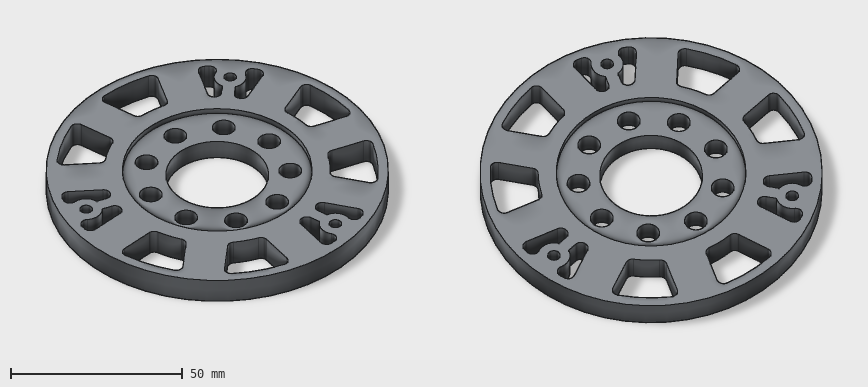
import cadquery as cq
import math

disc_radius = 49.75
disc_height = 8.0
bore_radius = 14.9
recess_radius = 27.6
recess_depth = 1.8

bolt_circle_radius = 21.3
bolt_hole_diameter = 6.6

window_count = 9
window_pitch = 360.0 / window_count
first_window_angle = -90.0
window_inner_radius = 32.8
window_outer_radius = 46.8
spoke_width = 12.1
corner_radius = 2.0

mount_spacing = 3
mount_radius = 42.0
mount_hole_diameter = 3.6
boss_radius = 4.7
rib_width = 3.8


def polar(radius, angle):
    """Point at a radius and an angle in degrees from +X."""
    return (radius * math.cos(math.radians(angle)), radius * math.sin(math.radians(angle)))


def spoke_side_angle(radius):
    """Half angle of a window centred on +X, where its spoke meets a circle."""
    return window_pitch / 2 - math.degrees(math.asin(spoke_width / 2 / radius))


def round_corners(body, corners):
    """Round the upright edges that stand on the given corner points."""
    for x, y in corners:
        nearest = cq.selectors.NearestToPointSelector((x, y, disc_height / 2))
        body = body.edges("|Z").edges(nearest).fillet(corner_radius)
    return body


def open_window():
    """Cutter for a plain window centred on +X."""
    inner_angle = spoke_side_angle(window_inner_radius)
    outer_angle = spoke_side_angle(window_outer_radius)
    inner_low = polar(window_inner_radius, -inner_angle)
    inner_high = polar(window_inner_radius, inner_angle)
    outer_low = polar(window_outer_radius, -outer_angle)
    outer_high = polar(window_outer_radius, outer_angle)
    body = (
        cq.Workplane("XY")
        .moveTo(*inner_low)
        .lineTo(*outer_low)
        .threePointArc((window_outer_radius, 0), outer_high)
        .lineTo(*inner_high)
        .threePointArc((window_inner_radius, 0), inner_low)
        .close()
        .extrude(disc_height)
    )
    return round_corners(body, [inner_low, inner_high, outer_low, outer_high])


def mount_slot():
    """Cutter for the slot on the +Y side of a boss and rib that lie along +X."""
    rib_side = rib_width / 2
    inner_angle = spoke_side_angle(window_inner_radius)
    outer_angle = spoke_side_angle(window_outer_radius)
    rib_angle = math.degrees(math.asin(rib_side / window_inner_radius))
    rib_inner = polar(window_inner_radius, rib_angle)
    spoke_inner = polar(window_inner_radius, inner_angle)
    spoke_outer = polar(window_outer_radius, outer_angle)
    inner_middle = polar(window_inner_radius, (rib_angle + inner_angle) / 2)

    def on_boss(angle):
        x, y = polar(boss_radius, angle)
        return (mount_radius + x, y)

    end_to_centre = window_outer_radius - corner_radius
    end_to_boss = boss_radius + corner_radius
    end_x = (end_to_centre**2 - end_to_boss**2 + mount_radius**2) / (2 * mount_radius)
    end_y = math.sqrt(end_to_centre**2 - end_x**2)
    end_angle = math.degrees(math.atan2(end_y, end_x))
    boss_end_angle = math.degrees(math.atan2(end_y, end_x - mount_radius))
    boss_start_angle = 180 - math.degrees(math.asin(rib_side / boss_radius))

    end_turn_angle = (boss_end_angle - 180 + end_angle) / 2
    turn_x, turn_y = polar(corner_radius, end_turn_angle)

    body = (
        cq.Workplane("XY")
        .moveTo(*rib_inner)
        .lineTo(*on_boss(boss_start_angle))
        .threePointArc(on_boss((boss_start_angle + boss_end_angle) / 2), on_boss(boss_end_angle))
        .threePointArc((end_x + turn_x, end_y + turn_y), polar(window_outer_radius, end_angle))
        .threePointArc(polar(window_outer_radius, (end_angle + outer_angle) / 2), spoke_outer)
        .lineTo(*spoke_inner)
        .threePointArc(inner_middle, rib_inner)
        .close()
        .extrude(disc_height)
    )
    return round_corners(body, [rib_inner, spoke_inner, spoke_outer])


def mount_window():
    """Cutter for the slot pair and the hole of a boss on +X."""
    slot = mount_slot()
    hole = (
        cq.Workplane("XY")
        .center(mount_radius, 0)
        .circle(mount_hole_diameter / 2)
        .extrude(disc_height)
    )
    return slot.union(slot.mirror("XZ")).union(hole)


result = cq.Workplane("XY").circle(disc_radius).circle(bore_radius).extrude(disc_height)
result = result.faces(">Z").workplane().circle(recess_radius).cutBlind(-recess_depth)
bolt_holes = (
    cq.Workplane("XY")
    .polarArray(bolt_circle_radius, first_window_angle, 360, window_count)
    .circle(bolt_hole_diameter / 2)
    .extrude(disc_height)
)
result = result.cut(bolt_holes)

plain_cutter = open_window()
mount_cutter = mount_window()
for index in range(window_count):
    cutter = mount_cutter if index % mount_spacing == 0 else plain_cutter
    turn = first_window_angle + index * window_pitch
    result = result.cut(cutter.rotate((0, 0, 0), (0, 0, 1), turn))